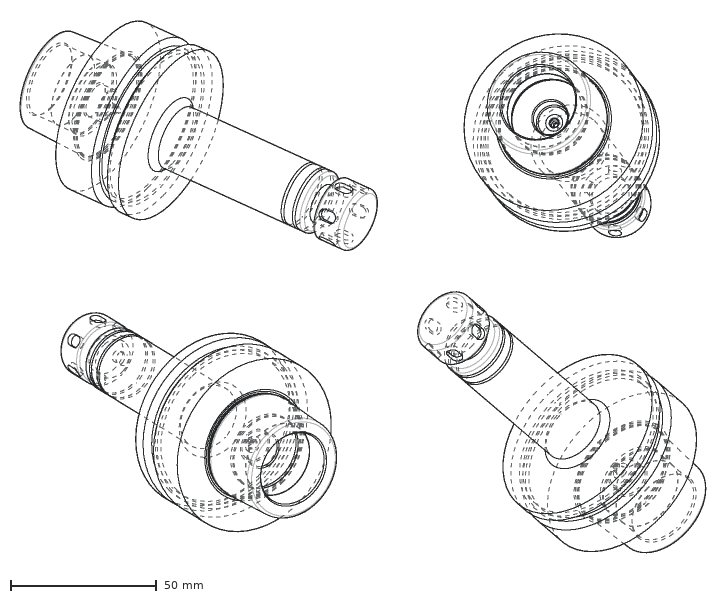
import cadquery as cq
import math

total_length = 130.0

taper_mouth_radius = 36.3 / 2
taper_root_radius = 38.2 / 2
taper_mouth_fillet = 1.0
taper_end_x = 22.8
taper_collar_length = 0.8
neck_radius = 18.8
neck_start_x = 24.3

flange_radius = 63.0 / 2
flange_start_x = 24.7
flange_end_x = 51.0
grip_start_x = 39.6
grip_end_x = 46.3
grip_cone_length = 1.5
grip_cone_radius = 29.0
grip_floor_radius = 27.5
relief_outer_radius = 20.3
relief_floor_radius = 19.5
relief_depth = 0.3

shank_radius = 23.0 / 2
shank_end_x = 114.0
shank_end_fillet = 1.2
root_flare_length = 2.7
root_flare_height = 2.2
root_flare_sag = 0.3
ring_groove_starts = (105.0, 109.7)
ring_groove_width = 1.2
ring_groove_depth = 0.3

spindle_radius = 14.0 / 2
nut_start_x = 118.3
nut_radius = shank_radius
nut_rear_fillet = 0.8
nut_front_fillet = 1.4
slot_count = 6
slot_center_x = 123.2
slot_length = 6.6
slot_width = 4.0
slot_depth = 1.8

lip_radius = 26.0 / 2
lip_mouth_radius = 13.5
lip_chamfer_length = 0.6
lip_end_x = 10.0
bore_radius = 13.1
undercut_start_x = 17.3
undercut_radius = 13.4
undercut_chamfer_length = 0.4
bore_floor_x = 19.0

center_mouth_radius = 12.9 / 2
center_radius = 12.0 / 2
center_chamfer_length = 0.5
center_depth = 5.2
funnel_mouth_radius = 10.7 / 2
funnel_end_radius = 6.0 / 2
funnel_depth = 1.4
pilot_mouth_radius = 3.5 / 2
pilot_radius = 3.0 / 2
pilot_chamfer_length = 0.3
pilot_depth = 2.6
tip_hole_radius = 1.7 / 2
tip_hole_depth = 1.3
drill_point_length = 0.5


def revolve_about_x(profile):
    """Close a half profile drawn in the XY plane and turn it around the X axis."""
    return profile.close().revolve(360, (0, 0, 0), (1, 0, 0))


def make_body():
    """Taper, flange, shank and spindle as one turned solid."""
    flare_end_x = flange_end_x + root_flare_length
    flare_chord = math.hypot(root_flare_length, root_flare_height)
    flare_mid = (
        flange_end_x + root_flare_length / 2 - root_flare_sag * root_flare_height / flare_chord,
        shank_radius + root_flare_height / 2 - root_flare_sag * root_flare_length / flare_chord,
    )
    profile = (
        cq.Workplane("XY")
        .moveTo(0, 0)
        .lineTo(0, taper_mouth_radius)
        .lineTo(taper_end_x, taper_root_radius)
        .lineTo(taper_end_x + taper_collar_length, taper_root_radius)
        .lineTo(neck_start_x, neck_radius)
        .lineTo(flange_start_x + relief_depth, neck_radius)
        .lineTo(flange_start_x + relief_depth, relief_floor_radius)
        .lineTo(flange_start_x, relief_outer_radius)
        .lineTo(flange_start_x, flange_radius)
        .lineTo(grip_start_x, flange_radius)
        .lineTo(grip_start_x + grip_cone_length, grip_cone_radius)
        .lineTo(grip_start_x + grip_cone_length, grip_floor_radius)
        .lineTo(grip_end_x - grip_cone_length, grip_floor_radius)
        .lineTo(grip_end_x - grip_cone_length, grip_cone_radius)
        .lineTo(grip_end_x, flange_radius)
        .lineTo(flange_end_x, flange_radius)
        .lineTo(flange_end_x, shank_radius + root_flare_height)
        .threePointArc(flare_mid, (flare_end_x, shank_radius))
    )
    for start_x in ring_groove_starts:
        groove_bottom = (start_x + ring_groove_width / 2, shank_radius - ring_groove_depth)
        profile = profile.lineTo(start_x, shank_radius)
        profile = profile.threePointArc(groove_bottom, (start_x + ring_groove_width, shank_radius))
    profile = (
        profile.lineTo(shank_end_x - shank_end_fillet, shank_radius)
        .tangentArcPoint((shank_end_x, shank_radius - shank_end_fillet), relative=False)
        .lineTo(shank_end_x, spindle_radius)
        .lineTo(nut_start_x, spindle_radius)
        .lineTo(nut_start_x, 0)
    )
    body = revolve_about_x(profile)
    return body.faces("<X").edges().fillet(taper_mouth_fillet)


def make_nut():
    """Round nut with wrench slots spaced evenly around it, one of them facing up."""
    nut_length = total_length - nut_start_x
    nut = cq.Workplane("YZ", origin=(nut_start_x, 0, 0)).circle(nut_radius).extrude(nut_length)
    nut = nut.faces("<X").edges().fillet(nut_rear_fillet)
    nut = nut.faces(">X").edges().fillet(nut_front_fillet)
    slot = (
        cq.Workplane("XY", origin=(slot_center_x, 0, nut_radius - slot_depth))
        .slot2D(slot_length, slot_width)
        .extrude(2 * slot_depth)
    )
    for index in range(slot_count):
        nut = nut.cut(slot.rotate((0, 0, 0), (1, 0, 0), index * 360 / slot_count))
    return nut


def make_bore():
    """Cavity of the taper: chamfered lip, straight wall, undercut and flat floor."""
    return revolve_about_x(
        cq.Workplane("XY")
        .moveTo(0, 0)
        .lineTo(0, lip_mouth_radius)
        .lineTo(lip_chamfer_length, lip_radius)
        .lineTo(lip_end_x, lip_radius)
        .lineTo(lip_end_x, bore_radius)
        .lineTo(undercut_start_x, bore_radius)
        .lineTo(undercut_start_x + undercut_chamfer_length, undercut_radius)
        .lineTo(bore_floor_x, undercut_radius)
        .lineTo(bore_floor_x, 0)
    )


def make_center_hole():
    """Cavity in the bore floor: chamfered hole, funnel and a small pilot hole."""
    center_end_x = bore_floor_x + center_depth
    funnel_end_x = center_end_x + funnel_depth
    pilot_end_x = funnel_end_x + pilot_depth
    tip_hole_end_x = pilot_end_x + tip_hole_depth
    return revolve_about_x(
        cq.Workplane("XY")
        .moveTo(bore_floor_x, 0)
        .lineTo(bore_floor_x, center_mouth_radius)
        .lineTo(bore_floor_x + center_chamfer_length, center_radius)
        .lineTo(center_end_x, center_radius)
        .lineTo(center_end_x, funnel_mouth_radius)
        .lineTo(funnel_end_x, funnel_end_radius)
        .lineTo(funnel_end_x, pilot_mouth_radius)
        .lineTo(funnel_end_x + pilot_chamfer_length, pilot_radius)
        .lineTo(pilot_end_x, pilot_radius)
        .lineTo(pilot_end_x, tip_hole_radius)
        .lineTo(tip_hole_end_x, tip_hole_radius)
        .lineTo(tip_hole_end_x + drill_point_length, 0)
    )


result = make_body().union(make_nut()).cut(make_bore()).cut(make_center_hole())